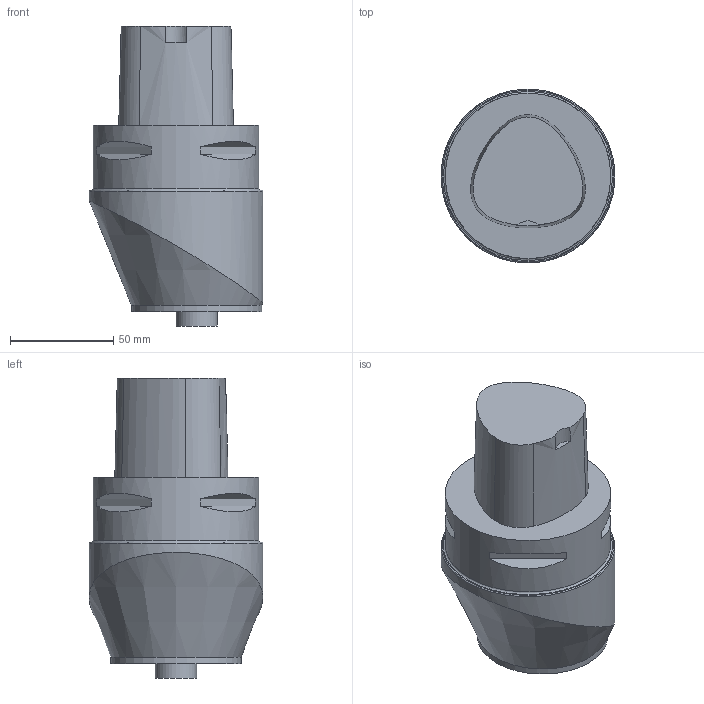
import cadquery as cq
import math

SHANK_LENGTH = 48.0
BODY_TOP_Z = -31.3
NOSE_TOP_Z = -87.0
NOSE_BOTTOM_Z = -90.0
PIN_LENGTH = 7.0

SHANK_MEAN_RADIUS = 27.4
SHANK_LOBE_HEIGHT = 2.2
SHANK_TAPER = 1 / 40
LOBE_COUNT = 3
LOBE_HALF_ANGLE = math.radians(25)
CURVE_SAMPLES = 12

NOTCH_RADIUS = 7.0
NOTCH_BACK_Y = -21.8
NOTCH_HEIGHT = 8.0

COLLAR_RADIUS = 80.0 / 2
GROOVE_COUNT = 4
GROOVE_FIRST_ANGLE = 45.0
GROOVE_FLOOR_DISTANCE = 35.4
GROOVE_CENTER_Z = -12.2
GROOVE_FLOOR_HEIGHT = 3.6
GROOVE_WALL_ANGLE = math.radians(30)

BODY_RADIUS = 84.0 / 2
BODY_ROUNDING = 0.5
COLLAR_ROOT_FILLET = 0.9
NOSE_RADIUS = 63.0 / 2
NOSE_OFFSET_X = 10.0
PIN_RADIUS = 20.0 / 2
CONE_TOP_Z = -36.3


def shank_outline(mean_radius, z):
    """Closed lobed outline at height z, split where each lobe meets its flanks."""

    def point(t):
        lobe_phase = math.pi / 2
        angle = t + lobe_phase
        counter_angle = lobe_phase - (LOBE_COUNT - 1) * t
        x = mean_radius * math.cos(angle) + SHANK_LOBE_HEIGHT * math.cos(counter_angle)
        y = mean_radius * math.sin(angle) + SHANK_LOBE_HEIGHT * math.sin(counter_angle)
        return cq.Vector(x, y, z)

    def curve(start, end):
        step = (end - start) / CURVE_SAMPLES
        return cq.Edge.makeSpline([point(start + i * step) for i in range(CURVE_SAMPLES + 1)])

    pitch = 2 * math.pi / LOBE_COUNT
    edges = []
    for lobe in range(LOBE_COUNT):
        center = lobe * pitch
        edges.append(curve(center - LOBE_HALF_ANGLE, center + LOBE_HALF_ANGLE))
        edges.append(curve(center + LOBE_HALF_ANGLE, center + pitch - LOBE_HALF_ANGLE))
    return cq.Wire.assembleEdges(edges)


def make_shank():
    top_mean_radius = SHANK_MEAN_RADIUS - SHANK_TAPER * SHANK_LENGTH
    base = shank_outline(SHANK_MEAN_RADIUS, 0)
    top = shank_outline(top_mean_radius, SHANK_LENGTH)
    shank = cq.Workplane(cq.Solid.makeLoft([base, top], True))
    notch = (
        cq.Workplane("XY", origin=(0, NOTCH_BACK_Y - NOTCH_RADIUS, SHANK_LENGTH - NOTCH_HEIGHT))
        .circle(NOTCH_RADIUS)
        .extrude(NOTCH_HEIGHT)
    )
    return shank.cut(notch)


def make_body():
    """Collar with a filleted root on the wide, round-edged cylinder, turned about the Z axis."""
    return (
        cq.Workplane("XZ")
        .moveTo(0, 0)
        .lineTo(COLLAR_RADIUS, 0)
        .lineTo(COLLAR_RADIUS, BODY_TOP_Z + COLLAR_ROOT_FILLET)
        .radiusArc((COLLAR_RADIUS + COLLAR_ROOT_FILLET, BODY_TOP_Z), -COLLAR_ROOT_FILLET)
        .lineTo(BODY_RADIUS - BODY_ROUNDING, BODY_TOP_Z)
        .radiusArc((BODY_RADIUS, BODY_TOP_Z - BODY_ROUNDING), BODY_ROUNDING)
        .lineTo(BODY_RADIUS, NOSE_TOP_Z)
        .lineTo(0, NOSE_TOP_Z)
        .close()
        .revolve()
    )


def make_nose_cone():
    """Envelope about the nose axis: a cone below CONE_TOP_Z, a cylinder clear of the body above."""
    cone_top_radius = BODY_RADIUS + NOSE_OFFSET_X
    return (
        cq.Workplane("XZ", origin=(NOSE_OFFSET_X, 0, 0))
        .moveTo(0, 0)
        .lineTo(cone_top_radius, 0)
        .lineTo(cone_top_radius, CONE_TOP_Z)
        .lineTo(NOSE_RADIUS, NOSE_TOP_Z)
        .lineTo(0, NOSE_TOP_Z)
        .close()
        .revolve()
    )


def make_groove():
    """Trapezoidal gripper groove cut across the +X side of the collar."""
    depth = BODY_RADIUS - GROOVE_FLOOR_DISTANCE
    floor_half = GROOVE_FLOOR_HEIGHT / 2
    mouth_half = floor_half + depth * math.tan(GROOVE_WALL_ANGLE)
    return (
        cq.Workplane("XZ")
        .moveTo(GROOVE_FLOOR_DISTANCE, GROOVE_CENTER_Z - floor_half)
        .lineTo(BODY_RADIUS, GROOVE_CENTER_Z - mouth_half)
        .lineTo(BODY_RADIUS, GROOVE_CENTER_Z + mouth_half)
        .lineTo(GROOVE_FLOOR_DISTANCE, GROOVE_CENTER_Z + floor_half)
        .close()
        .extrude(COLLAR_RADIUS, both=True)
    )


def make_nose():
    """Short cylinder and the pin below it, both on the offset axis."""
    nose_height = NOSE_TOP_Z - NOSE_BOTTOM_Z
    nose_plane = cq.Workplane("XY", origin=(NOSE_OFFSET_X, 0, NOSE_BOTTOM_Z))
    nose = nose_plane.circle(NOSE_RADIUS).extrude(nose_height)
    return nose.faces("<Z").workplane().circle(PIN_RADIUS).extrude(PIN_LENGTH)


body = make_body().intersect(make_nose_cone())
groove = make_groove()
for i in range(GROOVE_COUNT):
    angle = GROOVE_FIRST_ANGLE + i * 360 / GROOVE_COUNT
    body = body.cut(groove.rotate((0, 0, 0), (0, 0, 1), angle))

result = body.union(make_shank()).union(make_nose())